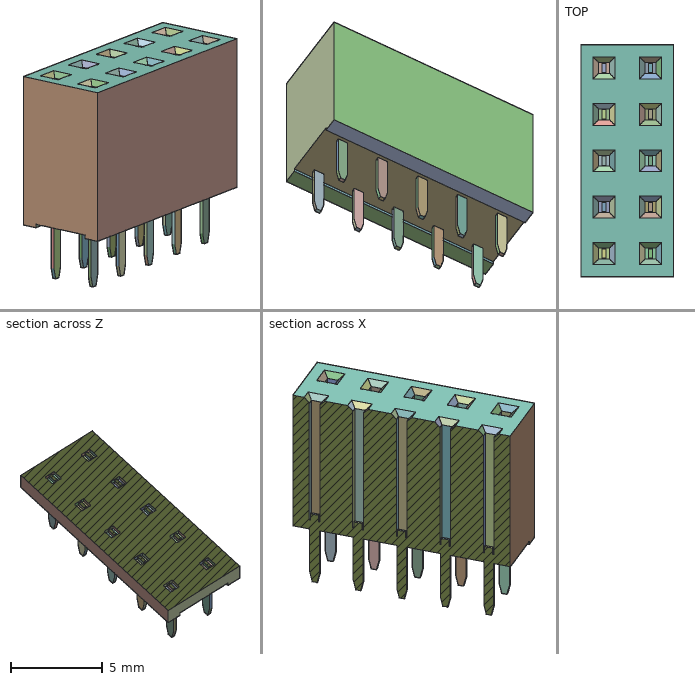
import cadquery as cq

PITCH = 2.54
COLUMNS = 2
ROWS = 5

HOUSING_X = COLUMNS * PITCH
HOUSING_Y = ROWS * PITCH
HOUSING_HEIGHT = 8.5
CHANNEL_WIDTH = 3.38
CHANNEL_DEPTH = 0.2

SOCKET_MOUTH = 1.2
SOCKET_BORE = 0.6
LEAD_IN_DEPTH = (SOCKET_MOUTH - SOCKET_BORE) / 2
SOCKET_DEPTH = 7.7
SOCKET_FLOOR_Z = HOUSING_HEIGHT - SOCKET_DEPTH

PIN_THICKNESS = 0.2
PIN_WIDTH = 0.6
PIN_LENGTH_BELOW = 3.1
TIP_WIDTH = 0.3
TIP_LENGTH = 0.6
TAB_WIDTH = 0.5
TAB_HEIGHT = 0.4


def contact_positions():
    """Centres of all contacts, on a grid centred on the origin."""
    return [
        ((column - (COLUMNS - 1) / 2) * PITCH, (row - (ROWS - 1) / 2) * PITCH)
        for column in range(COLUMNS)
        for row in range(ROWS)
    ]


def make_housing():
    """Plain block with a shallow channel along Y under its base."""
    block = cq.Workplane("XY").box(HOUSING_X, HOUSING_Y, HOUSING_HEIGHT, centered=(True, True, False))
    channel = cq.Workplane("XY").box(CHANNEL_WIDTH, HOUSING_Y, CHANNEL_DEPTH, centered=(True, True, False))
    return block.cut(channel)


def make_socket():
    """Material removed for one socket, centred on the Z axis."""
    bore = (
        cq.Workplane("XY")
        .workplane(offset=SOCKET_FLOOR_Z)
        .rect(SOCKET_BORE, SOCKET_BORE)
        .extrude(SOCKET_DEPTH)
    )
    lead_in = (
        cq.Workplane("XY")
        .workplane(offset=HOUSING_HEIGHT)
        .rect(SOCKET_MOUTH, SOCKET_MOUTH)
        .workplane(offset=-LEAD_IN_DEPTH)
        .rect(SOCKET_BORE, SOCKET_BORE)
        .loft(ruled=True)
    )
    return bore.union(lead_in)


def make_pin():
    """One pin, centred on the Z axis, from its tip up to the tab inside the socket."""
    tip_z = -PIN_LENGTH_BELOW
    tip_half = TIP_WIDTH / 2
    pin_half = PIN_WIDTH / 2
    blade = (
        cq.Workplane("YZ")
        .polyline([
            (-tip_half, tip_z),
            (tip_half, tip_z),
            (pin_half, tip_z + TIP_LENGTH),
            (pin_half, SOCKET_FLOOR_Z),
            (-pin_half, SOCKET_FLOOR_Z),
            (-pin_half, tip_z + TIP_LENGTH),
        ])
        .close()
        .extrude(PIN_THICKNESS / 2, both=True)
    )
    tab = (
        cq.Workplane("XY")
        .workplane(offset=SOCKET_FLOOR_Z)
        .rect(PIN_THICKNESS, TAB_WIDTH)
        .extrude(TAB_HEIGHT)
    )
    return blade.union(tab)


socket = make_socket()
pin = make_pin()
result = make_housing()
for x, y in contact_positions():
    result = result.cut(socket.translate((x, y, 0)))
    result = result.union(pin.translate((x, y, 0)))